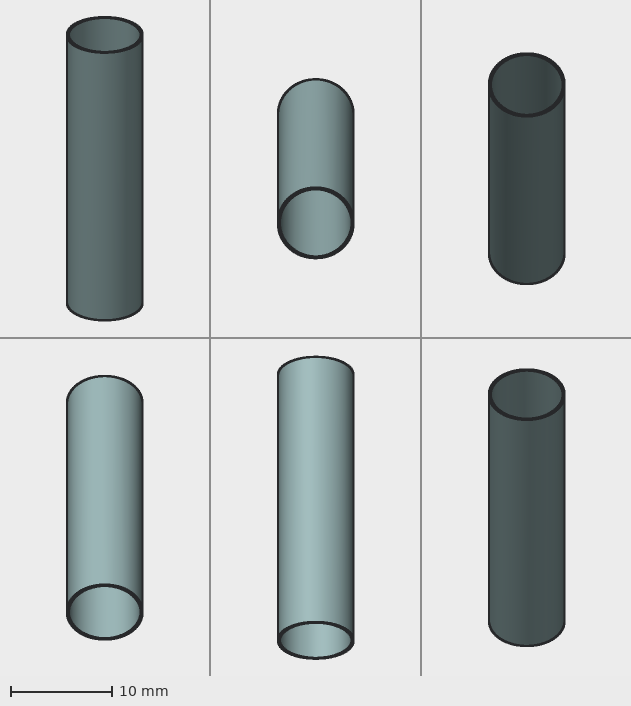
import cadquery as cq

length = 30.0
outer_diameter = 7.5
wall_thickness = 0.2
inner_diameter = outer_diameter - 2 * wall_thickness

result = (
    cq.Workplane("XY")
    .circle(outer_diameter / 2)
    .circle(inner_diameter / 2)
    .extrude(length)
)